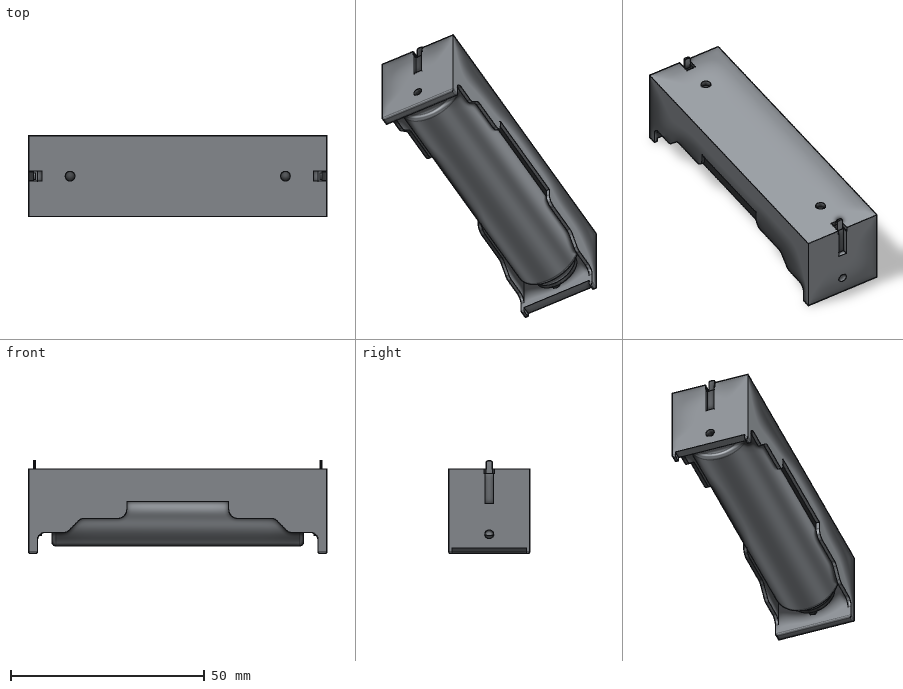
import cadquery as cq


holder_length = 77.25
holder_width = 21.0
holder_height = 21.9
end_wall = 2.35
side_wall = 0.9
foot_fillet = 0.5

arch_height = 5.45
arch_fillet = 2.0
step_height = 9.1
step_corner_from_end = 13.55
slope_fillet = 2.0
window_height = 13.5
window_length = 26.4
window_corner_radius = 2.3

cell_diameter = 18.0
cell_end_face_diameter = 15.75
cell_length = 65.2
cell_axis_height = holder_height / 2
cell_clearance = 0.5

vent_diameter = 2.5
vent_spacing = 55.75
end_hole_diameter = 2.25
end_hole_height = 5.0

notch_height = 1.4

recess_length = 3.5
recess_width = 2.6
recess_depth = 1.2
slot_width = 2.25
slot_height = 8.9
slot_depth = 1.3

terminal_thickness = 0.5
pin_width = 1.65
pin_rise = 2.15
pin_tip_radius = 0.6
disc_diameter = 12.0
disc_thickness = 1.0
disc_axis_height = 10.7

half_length = holder_length / 2
cavity_length = holder_length - 2 * end_wall
cavity_width = holder_width - 2 * side_wall
cavity_top = cell_axis_height + cell_diameter / 2 + cell_clearance
recess_floor = holder_height - recess_depth
ends = (-1, 1)


def block(x_min, x_max, width, z_min, z_max):
    """Box between two X and two Z positions, centred on Y = 0."""
    return (
        cq.Workplane("XY", origin=((x_min + x_max) / 2, 0, z_min))
        .box(x_max - x_min, width, z_max - z_min, centered=(True, True, False))
    )


def at_end(shape, end):
    """Keep a shape made for the -X end there, or mirror it to the +X end."""
    return shape if end < 0 else shape.mirror("YZ")


def side_wall_cutter():
    """Cutter along Y for the arches, slopes and window, which also rounds the inner foot edges."""
    arch_x = half_length - end_wall
    step_x = half_length - step_corner_from_end
    slope_foot_x = step_x + step_height - arch_height
    window_x = window_length / 2
    window_side_z = step_height + window_corner_radius
    step_end_x = window_x + window_corner_radius
    cutter = (
        cq.Workplane("XZ")
        .moveTo(-arch_x - foot_fillet, 0)
        .radiusArc((-arch_x, foot_fillet), -foot_fillet)
        .lineTo(-arch_x, arch_height)
        .lineTo(-slope_foot_x, arch_height)
        .lineTo(-step_x, step_height)
        .lineTo(-step_end_x, step_height)
        .radiusArc((-window_x, window_side_z), -window_corner_radius)
        .lineTo(-window_x, window_height)
        .lineTo(window_x, window_height)
        .lineTo(window_x, window_side_z)
        .radiusArc((step_end_x, step_height), -window_corner_radius)
        .lineTo(step_x, step_height)
        .lineTo(slope_foot_x, arch_height)
        .lineTo(arch_x, arch_height)
        .lineTo(arch_x, foot_fillet)
        .radiusArc((arch_x + foot_fillet, 0), -foot_fillet)
        .close()
        .extrude(holder_width, both=True)
    )

    for x, z, radius in (
        (arch_x, arch_height, arch_fillet),
        (slope_foot_x, arch_height, slope_fillet),
        (step_x, step_height, slope_fillet),
    ):
        for corner_x in (-x, x):
            corner = cq.selectors.NearestToPointSelector((corner_x, 0, z))
            cutter = cutter.edges("|Y").edges(corner).fillet(radius)
    return cutter


def make_holder():
    body = block(-half_length, half_length, holder_width, 0, holder_height)
    body = body.faces("<Z").edges().fillet(foot_fillet)
    body = body.cut(block(-cavity_length / 2, cavity_length / 2, cavity_width, 0, cavity_top))
    body = body.cut(side_wall_cutter())
    body = body.cut(block(cavity_length / 2, half_length, cavity_width, 0, notch_height))

    vents = (
        cq.Workplane("XY", origin=(0, 0, cavity_top))
        .rarray(vent_spacing, 1, 2, 1)
        .circle(vent_diameter / 2)
        .extrude(holder_height - cavity_top)
    )
    body = body.cut(vents)

    recess = block(-half_length, recess_length - half_length, recess_width, recess_floor, holder_height)
    slot = block(
        -half_length, slot_depth - half_length, slot_width, holder_height - slot_height, holder_height
    )
    end_hole = (
        cq.Workplane("YZ", origin=(-half_length, 0, end_hole_height))
        .circle(end_hole_diameter / 2)
        .extrude(end_wall)
    )
    for end in ends:
        for cutter in (recess, slot, end_hole):
            body = body.cut(at_end(cutter, end))
    return body


def make_cell():
    return (
        cq.Workplane("YZ", origin=(-cell_length / 2, 0, cell_axis_height))
        .circle(cell_diameter / 2)
        .extrude(cell_length)
        .edges()
        .fillet((cell_diameter - cell_end_face_diameter) / 2)
    )


def make_terminal(end):
    """Upright pin that stands on the recess floor, flush with the back of the slot."""
    outer_x = slot_depth - half_length
    pin = block(
        outer_x, outer_x + terminal_thickness, pin_width, recess_floor, holder_height + pin_rise
    )
    pin = pin.faces(">Z").edges("|X").fillet(pin_tip_radius)
    return at_end(pin, end)


def make_contact_disc(end):
    """Round contact against the inside of the end wall, facing the cell."""
    disc = (
        cq.Workplane("YZ", origin=(-cavity_length / 2, 0, disc_axis_height))
        .circle(disc_diameter / 2)
        .extrude(disc_thickness)
    )
    return at_end(disc, end)


holder = make_holder()
cell = make_cell()
terminals = [make_terminal(end).val() for end in ends]
contact_discs = [make_contact_disc(end).val() for end in ends]

result = cq.Compound.makeCompound([holder.val(), cell.val(), *terminals, *contact_discs])